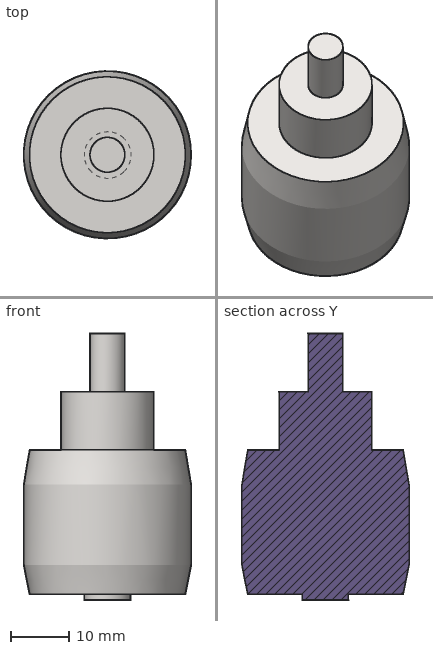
import cadquery as cq

total_height = 45.8
shaft_diameter = 6.0
shaft_length = 10.0
collar_diameter = 16.0
collar_length = 10.05
body_diameter = 28.8
body_end_diameter = 26.8
upper_taper_height = 5.95
lower_taper_height = 5.05
foot_diameter = 8.0
foot_height = 0.95

collar_top = total_height - shaft_length
body_top = collar_top - collar_length
upper_taper_base = body_top - upper_taper_height
lower_taper_top = foot_height + lower_taper_height

shaft_radius = shaft_diameter / 2
collar_radius = collar_diameter / 2
body_radius = body_diameter / 2
body_end_radius = body_end_diameter / 2
foot_radius = foot_diameter / 2

profile = (
    cq.Workplane("XZ")
    .moveTo(0, 0)
    .lineTo(foot_radius, 0)
    .lineTo(foot_radius, foot_height)
    .lineTo(body_end_radius, foot_height)
    .lineTo(body_radius, lower_taper_top)
    .lineTo(body_radius, upper_taper_base)
    .lineTo(body_end_radius, body_top)
    .lineTo(collar_radius, body_top)
    .lineTo(collar_radius, collar_top)
    .lineTo(shaft_radius, collar_top)
    .lineTo(shaft_radius, total_height)
    .lineTo(0, total_height)
    .close()
)

result = profile.revolve(360, (0, 0, 0), (0, 1, 0))